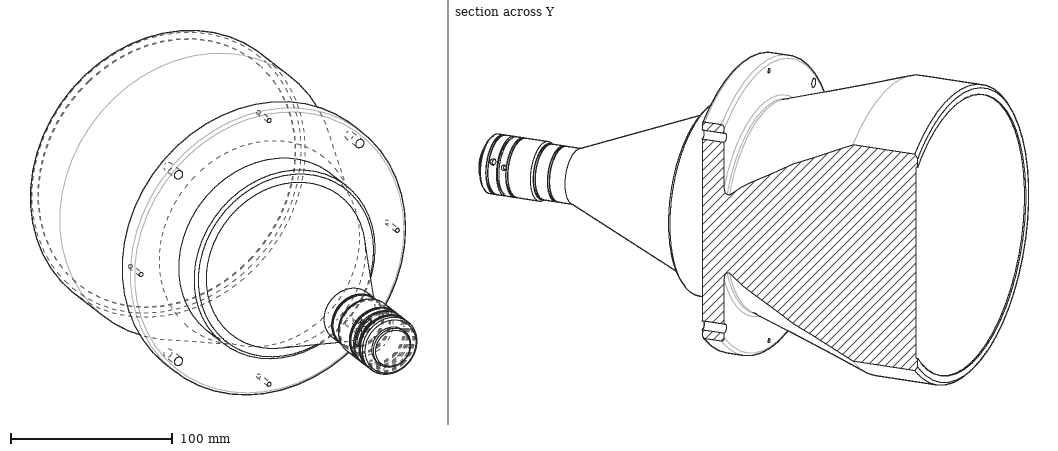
import cadquery as cq

length = 328.0
barrel_end = 44.5
neck_start = 130.0
flange_front = 133.5
flange_back = 149.0
collar_end = 173.0
rear_tube_start = 265.5
rear_tube_joint = 277.0
mount_start = 287.5
screw_band_start = 305.2
lock_ring_front = 311.5
lock_ring_back = 319.0
lock_ring_x = 315.5
mount_shoulder = 324.5

full_turn = 360.0
z_axis_angle = 90.0

barrel_diameter = 188.0
front_cone_end_diameter = 134.5
collar_diameter = 123.5
rear_cone_start_diameter = 109.0
rear_tube_diameter = 35.0
mount_diameter = 37.5
thread_diameter = 25.5

barrel_radius = barrel_diameter / 2
front_cone_end_radius = front_cone_end_diameter / 2
collar_radius = collar_diameter / 2
rear_cone_start_radius = rear_cone_start_diameter / 2
rear_tube_radius = rear_tube_diameter / 2
mount_radius = mount_diameter / 2
thread_radius = thread_diameter / 2

barrel_chamfer = 2.0
flange_fillet = 2.0
neck_fillet = 2.0
collar_chamfer = 2.0
mount_chamfer = 1.3
shoulder_chamfer = 1.3
thread_chamfer = 1.0

lens_radius = 88.0
lens_recess_depth = 1.0

fine_groove_width = 1.3
fine_groove_depth = 0.5
mount_relief_x = mount_start - fine_groove_width / 2
ring_groove_width = 1.5
ring_groove_depth = 1.3

bolt_circle_radius = 87.5
flange_hole_count = 4
mounting_hole_diameter = 5.5
mounting_hole_angle = 45.0
small_hole_diameter = 2.5
small_hole_angle = 0.0

screw_count = 3
set_screw_x = 307.5
set_screw_angle = 135.0
set_screw_diameter = 3.3
set_screw_depth = 3.3
lock_screw_angle = 143.0
lock_screw_diameter = 4.0
lock_screw_depth = 3.3

slot_width = 4.5
slot_depth = 1.0
slot_angle = 149.5
slot_half_sweep = 23.0


def make_body():
    """Revolve the outer profile around the X axis."""
    profile = (
        cq.Workplane("XY")
        .lineTo(0, barrel_radius - barrel_chamfer)
        .lineTo(barrel_chamfer, barrel_radius)
        .lineTo(barrel_end, barrel_radius)
        .lineTo(neck_start, front_cone_end_radius)
        .lineTo(flange_front - neck_fillet, front_cone_end_radius)
        .radiusArc((flange_front, front_cone_end_radius + neck_fillet), -neck_fillet)
        .lineTo(flange_front, barrel_radius - flange_fillet)
        .radiusArc((flange_front + flange_fillet, barrel_radius), flange_fillet)
        .lineTo(flange_back - flange_fillet, barrel_radius)
        .radiusArc((flange_back, barrel_radius - flange_fillet), flange_fillet)
        .lineTo(flange_back, collar_radius)
        .lineTo(collar_end - collar_chamfer, collar_radius)
        .lineTo(collar_end, collar_radius - collar_chamfer)
        .lineTo(collar_end, rear_cone_start_radius)
        .lineTo(rear_tube_start, rear_tube_radius)
        .lineTo(mount_start, rear_tube_radius)
        .lineTo(mount_start + mount_chamfer, mount_radius)
        .lineTo(mount_shoulder - shoulder_chamfer, mount_radius)
        .lineTo(mount_shoulder, mount_radius - shoulder_chamfer)
        .lineTo(mount_shoulder, thread_radius)
        .lineTo(length - thread_chamfer, thread_radius)
        .lineTo(length, thread_radius - thread_chamfer)
        .lineTo(length, 0)
        .close()
    )
    return profile.revolve(full_turn, (0, 0, 0), (1, 0, 0))


def disc(x, radius, thickness):
    """Disc centred on the X axis, starting at x and growing towards +X."""
    return cq.Workplane("YZ", origin=(x, 0, 0)).circle(radius).extrude(thickness)


def ring_groove(x_center, outer_radius, width, depth):
    """Ring that cuts a square groove into a cylinder of outer_radius."""
    x_start = x_center - width / 2
    clearance = 3.3
    return disc(x_start, outer_radius + clearance, width).cut(disc(x_start, outer_radius - depth, width))


def flange_holes(diameter, first_angle):
    """Through holes spaced evenly on the flange bolt circle."""
    return (
        cq.Workplane("YZ", origin=(flange_front, 0, 0))
        .polarArray(bolt_circle_radius, first_angle, full_turn, flange_hole_count)
        .circle(diameter / 2)
        .extrude(flange_back - flange_front)
    )


def radial_hole(x, angle, diameter, depth):
    """Hole sunk from the mount surface; the angle is measured from +Y towards +Z."""
    return (
        cq.Workplane("XY", origin=(x, 0, mount_radius - depth))
        .circle(diameter / 2)
        .extrude(2 * depth)
        .rotate((0, 0, 0), (1, 0, 0), angle - z_axis_angle)
    )


def lock_ring_slot(angle):
    """Round-ended slot running part of the way around the lock ring."""
    band = (
        cq.Workplane("XY")
        .center(lock_ring_x, mount_radius)
        .rect(slot_width, 2 * slot_depth)
        .revolve(2 * slot_half_sweep, (-lock_ring_x, -mount_radius, 0), (3.3 - lock_ring_x, -mount_radius, 0))
        .rotate((0, 0, 0), (1, 0, 0), angle - slot_half_sweep)
    )
    for end_angle in (angle - slot_half_sweep, angle + slot_half_sweep):
        band = band.union(radial_hole(lock_ring_x, end_angle, slot_width, slot_depth))
    return band


result = make_body()
result = result.cut(disc(0, lens_radius, lens_recess_depth))
result = result.cut(flange_holes(mounting_hole_diameter, mounting_hole_angle))
result = result.cut(flange_holes(small_hole_diameter, small_hole_angle))
result = result.cut(ring_groove(rear_tube_joint, rear_tube_radius, fine_groove_width, fine_groove_depth))
result = result.cut(ring_groove(mount_relief_x, rear_tube_radius, fine_groove_width, fine_groove_depth))
result = result.cut(ring_groove(screw_band_start, mount_radius, fine_groove_width, fine_groove_depth))
result = result.cut(ring_groove(lock_ring_front, mount_radius, ring_groove_width, ring_groove_depth))
result = result.cut(ring_groove(lock_ring_back, mount_radius, fine_groove_width, fine_groove_depth))
result = result.cut(lock_ring_slot(slot_angle))

for index in range(screw_count):
    turn = index * full_turn / screw_count
    result = result.cut(radial_hole(set_screw_x, set_screw_angle + turn, set_screw_diameter, set_screw_depth))
    result = result.cut(radial_hole(lock_ring_x, lock_screw_angle + turn, lock_screw_diameter, lock_screw_depth))